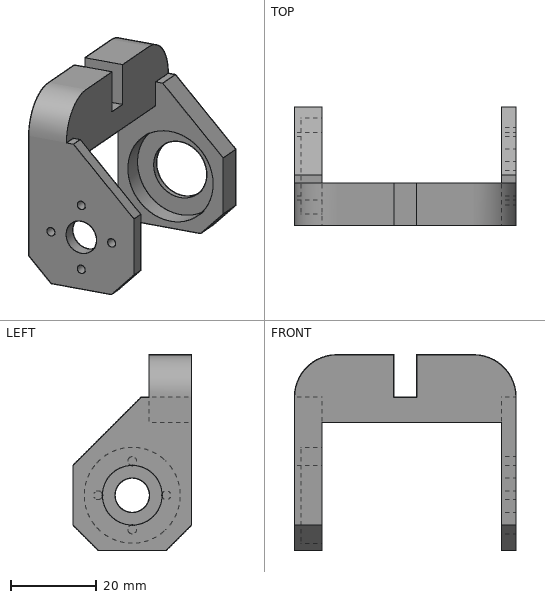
import cadquery as cq

width = 52.0
depth = 27.8
height = 45.95

bar_depth = 10.0
bar_underside = 30.0
corner_radius = 10.0
slot_width = 5.35
slot_depth = 10.0

left_thickness = 6.5
right_thickness = 3.5
leg_top = height - corner_radius
back_height = 20.0
foot_chamfer = 6.0
slope_run = leg_top - back_height

axis_y = depth / 2
axis_z = 13.0

opening_diameter = 14.0
seat_diameter = 22.5
lip_thickness = 1.55

shaft_diameter = 8.0
screw_diameter = 2.1
screw_circle_radius = 8.0
screw_count = 4


def make_crossbar():
    """Front frame of full height, rounded on top, with a central slot."""
    frame = cq.Workplane("XY").box(width, bar_depth, height, centered=False)
    frame = frame.edges("|Y and >Z").fillet(corner_radius)
    gap = (
        cq.Workplane("XY")
        .box(width - left_thickness - right_thickness, bar_depth, bar_underside, centered=False)
        .translate((left_thickness, 0, 0))
    )
    slot = (
        cq.Workplane("XY")
        .box(slot_width, bar_depth, slot_depth, centered=False)
        .translate(((width - slot_width) / 2, 0, height - slot_depth))
    )
    return frame.cut(gap).cut(slot)


def make_leg(start_x, thickness):
    """Side plate with chamfered foot corners and a sloping back shoulder."""
    outline = [
        (foot_chamfer, 0),
        (depth - foot_chamfer, 0),
        (depth, foot_chamfer),
        (depth, back_height),
        (depth - slope_run, leg_top),
        (0, leg_top),
        (0, foot_chamfer),
    ]
    return cq.Workplane("YZ", origin=(start_x, 0, 0)).polyline(outline).close().extrude(thickness)


def make_foot_trim():
    """Wedge that carries the front foot chamfer across the crossbar frame."""
    corner = [(0, 0), (foot_chamfer, 0), (0, foot_chamfer)]
    return cq.Workplane("YZ").polyline(corner).close().extrude(width)


def bore_plane(start_x):
    """Plane facing +X, centred on the bore axis."""
    return cq.Workplane("YZ", origin=(start_x, axis_y, axis_z))


def make_left_bores():
    opening = bore_plane(0).circle(opening_diameter / 2).extrude(left_thickness)
    seat_length = left_thickness - lip_thickness
    seat = bore_plane(lip_thickness).circle(seat_diameter / 2).extrude(seat_length)
    return opening.union(seat)


def make_right_holes():
    start_x = width - right_thickness
    shaft = bore_plane(start_x).circle(shaft_diameter / 2).extrude(right_thickness)
    screws = (
        bore_plane(start_x)
        .polarArray(screw_circle_radius, 0, 360, screw_count)
        .circle(screw_diameter / 2)
        .extrude(right_thickness)
    )
    return shaft.union(screws)


body = (
    make_crossbar()
    .union(make_leg(0, left_thickness))
    .union(make_leg(width - right_thickness, right_thickness))
    .cut(make_foot_trim())
)
result = body.cut(make_left_bores()).cut(make_right_holes())